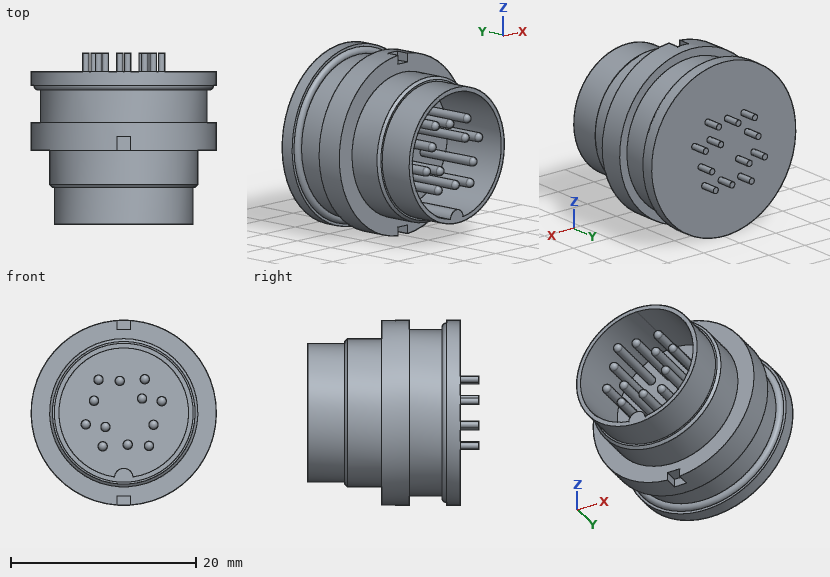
import cadquery as cq


body_axis = cq.Vector(0, 1, 0)

shell_radius = 7.5
sleeve_radius = 8.0
neck_radius = 9.0
collar_radius = 10.0
flange_radius = collar_radius
seal_radius = 9.7

shell_length = 4.0
sleeve_length = 4.0
collar_length = 3.0
neck_length = 3.5
seal_cord_radius = 0.5
flange_length = 1.5
sleeve_chamfer = 0.3

sleeve_start = shell_length
collar_start = sleeve_start + sleeve_length
neck_start = collar_start + collar_length
seal_start = neck_start + neck_length
flange_start = seal_start + seal_cord_radius
flange_end = flange_start + flange_length

cavity_radius = 7.0
cavity_depth = shell_length + sleeve_length
key_radius = 1.0

notch_width = 1.5
notch_depth = 1.0
notch_length = 1.5

pin_radius = 0.5
pin_tip = 0.2
tail_radius = 0.35
tail_length = 2.0

half_pin_places = [
    (-2.72, 3.57),
    (-0.43, 3.44),
    (2.27, 3.62),
    (-3.21, 1.30),
    (1.98, 1.53),
    (4.10, 1.25),
]


def rod(radius, start, end, x=0.0, z=0.0):
    """Cylinder along Y between two Y positions."""
    base = cq.Vector(x, start, z)
    return cq.Workplane(cq.Solid.makeCylinder(radius, end - start, base, body_axis))


def make_seal():
    """O-ring seated against the flange, half sunk into its front face."""
    ring_radius = seal_radius - seal_cord_radius
    center = cq.Vector(0, flange_start, 0)
    return cq.Workplane(cq.Solid.makeTorus(ring_radius, seal_cord_radius, center, body_axis))


def make_body():
    """Stepped solid of shell, sleeve, collar, neck, seal and rear flange."""
    sleeve = rod(sleeve_radius, sleeve_start, collar_start).faces("<Y").chamfer(sleeve_chamfer)
    body = rod(shell_radius, 0, sleeve_start)
    body = body.union(sleeve)
    body = body.union(rod(collar_radius, collar_start, neck_start))
    body = body.union(rod(neck_radius, neck_start, flange_start))
    body = body.union(make_seal())
    return body.union(rod(flange_radius, flange_start, flange_end))


def make_key():
    """Half-round rib along the bottom of the cavity, trimmed to the cavity wall."""
    round_bar = rod(key_radius, 0, cavity_depth, z=-cavity_radius)
    return round_bar.intersect(rod(shell_radius, 0, cavity_depth))


def make_notch(side):
    """Cutter for the notch at the top (side = 1) or bottom (side = -1) of the collar."""
    middle_y = collar_start + notch_length / 2
    middle_z = side * collar_radius
    return cq.Workplane().box(notch_width, notch_length, 2 * notch_depth).translate((0, middle_y, middle_z))


def make_pin(x, z):
    """Contact pin with its round tip and its solder tail."""
    contact = rod(pin_radius, pin_tip + pin_radius, flange_end, x, z)
    tip = cq.Workplane().sphere(pin_radius).translate((x, pin_tip + pin_radius, z))
    tail = rod(tail_radius, flange_end, flange_end + tail_length, x, z)
    return contact.union(tip).union(tail)


result = make_body().cut(rod(cavity_radius, 0, cavity_depth)).union(make_key())

for side in (1, -1):
    result = result.cut(make_notch(side))

for x, z in half_pin_places:
    result = result.union(make_pin(x, z)).union(make_pin(-x, -z))